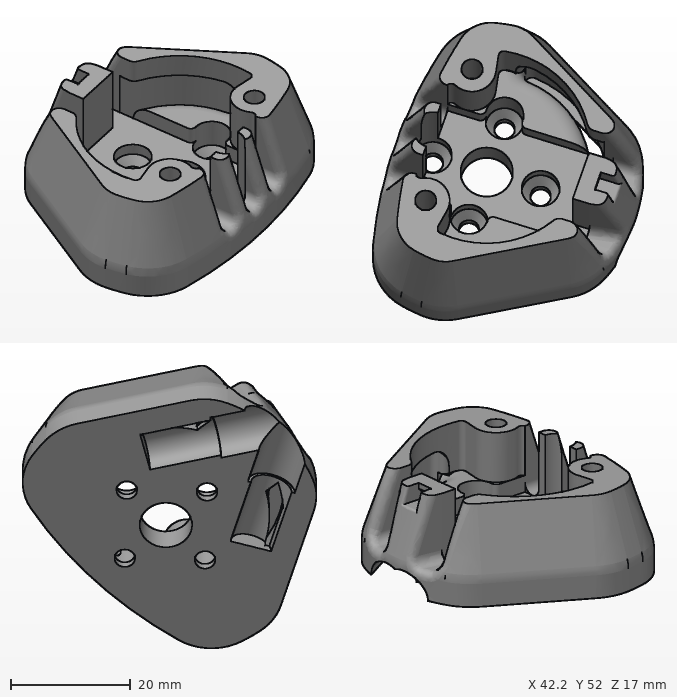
import cadquery as cq
import math

REACH = 31.2
EVERYWHERE = (-REACH, REACH)
GAP = 0.05

height = 17.0
floor_z = 5.0
ledge_z = 8.0

back_radius = 26.1
back_end_angle = 156.7
corner_radius = 9.85
side_angle = 120.0
side_length = 19.4
shoulder_radius = 30.65
shoulder_start_angle = 83.8
shoulder_end_angle = 76.7
front_start_angle = 13.2
wall_inset = 4.05
sill_radius = 4.9

channel_back = -19.5
channel_front = 9.6
channel_half_width = 8.3

slot_width = 3.55
slot_corner_radius = 1.7
back_slot_edge_radius = 1.5
front_slot_edge_radius = 1.45
back_slot_inner_y = 4.3
back_slot_flare = 9.3
inside_wall = 2.1
beyond_wall = 10.4

block_front = -16.5
notch_half_width = 1.6
notch_floor_z = 14.0
notch_ceiling_z = 15.55
notch_undercut = 1.05
notch_ceiling_slope = 0.4
notch_edge_radius = 0.45

screw_circle_radius = 9.45
screw_radius = 1.7
screw_head_radius = 3.15
screw_seat_z = 2.9
screw_corner_radius = 1.0
centre_hole_radius = 4.35

pocket_radius = 17.25
pocket_corner_radius = 0.95
pocket_tip_radius = 1.5
boss_x = 6.65
boss_y = 12.3
boss_radius = 4.0
boss_flank_angle = 170.0
boss_hole_radius = 1.75
boss_hole_floor_z = ledge_z
relief_radius = 1.0
relief_angle = 296.0
groove_lip_radius = ledge_z - floor_z
groove_floor_z = 1.5
groove_start_angle = 143.5
groove_end_x = -1.85
groove_half_width = 1.25
groove_roof_z = 12.8
groove_mouth_x = 0.55
groove_mouth_radius = 3.6

bore_offset = 14.75
bore_angle = 30.0
bore_radius = 4.05
inner_bore_radius = 3.55
bore_step = 12.1


def polar(radius, angle):
    a = math.radians(angle)
    return cq.Vector(radius * math.cos(a), radius * math.sin(a))


def mirrored(point):
    return cq.Vector(point.x, -point.y)


def both_sides(shape):
    return shape.union(shape.mirror("XZ"))


def edges_within(x_range, y_range, z_range):
    """Selector for edges that lie wholly inside a box."""
    low, high = zip(x_range, y_range, z_range)
    return cq.selectors.BoxSelector(low, high, boundingbox=True)


def box_between(x_range, y_range, z_range):
    size = [b - a for a, b in (x_range, y_range, z_range)]
    corner = (x_range[0], y_range[0], z_range[0])
    return cq.Workplane("XY").box(*size, centered=False).translate(corner)


def cylinder(radius, x, y, bottom, top):
    return cq.Workplane("XY", origin=(x, y, bottom)).circle(radius).extrude(top - bottom)


def outline(inset):
    """Closed wire of the outline, moved inward by inset."""
    point = polar(back_radius - inset, back_end_angle)
    steps = []

    def arc(radius, start_angle, end_angle):
        r = radius - inset
        centre = steps[-1][-1] - polar(r, start_angle)
        steps.append((centre + polar(r, (start_angle + end_angle) / 2), centre + polar(r, end_angle)))

    steps.append((point,))
    arc(corner_radius, back_end_angle, side_angle)
    steps.append((steps[-1][-1] + polar(side_length, side_angle - 90),))
    arc(corner_radius, side_angle, shoulder_start_angle)
    arc(shoulder_radius, shoulder_start_angle, shoulder_end_angle)
    arc(corner_radius, shoulder_end_angle, front_start_angle)
    end = steps[-1][-1]
    bulge = end.y * math.tan(math.radians(front_start_angle / 2))
    wire = cq.Workplane("XY").moveTo(point.x, point.y)
    for step in steps[1:]:
        if len(step) == 1:
            wire = wire.lineTo(step[0].x, step[0].y)
        else:
            wire = wire.threePointArc(step[0].toTuple()[:2], step[1].toTuple()[:2])
    wire = wire.threePointArc((end.x + bulge, 0), (end.x, -end.y))
    for i in range(len(steps) - 1, 0, -1):
        target = mirrored(steps[i - 1][-1])
        if len(steps[i]) == 1:
            wire = wire.lineTo(target.x, target.y)
        else:
            wire = wire.threePointArc(mirrored(steps[i][0]).toTuple()[:2], target.toTuple()[:2])
    return wire.threePointArc((inset - back_radius, 0), (point.x, point.y)).close().wire().val()


def body():
    foot = cq.Workplane(cq.Solid.extrudeLinear(outline(0), [], cq.Vector(0, 0, floor_z)))
    lower = outline(0).moved(cq.Location((0, 0, floor_z)))
    upper = outline(wall_inset).moved(cq.Location((0, 0, height)))
    shape = foot.union(cq.Workplane(cq.Solid.makeLoft([lower, upper], True)))
    sill = edges_within(EVERYWHERE, EVERYWHERE, (floor_z - GAP, floor_z + GAP))
    return shape.edges(sill).fillet(sill_radius)


def slot(back_x, back_y, front_x, front_y, outer_y_back, outer_y_front):
    """Round-bottomed slot between two X positions, open at the top."""
    profiles = []
    for x, inner, outer in ((back_x, back_y, outer_y_back), (front_x, front_y, outer_y_front)):
        r = slot_corner_radius
        k = r * math.sqrt(0.5)
        profile = (
            cq.Workplane("YZ", origin=(x, 0, 0))
            .moveTo(inner, height + 0.5)
            .lineTo(inner, floor_z + r)
            .threePointArc((inner + r - k, floor_z + r - k), (inner + r, floor_z))
            .lineTo(outer - r, floor_z)
            .threePointArc((outer - r + k, floor_z + r - k), (outer, floor_z + r))
            .lineTo(outer, height + 0.5)
            .close()
        )
        profiles.append(profile.wire().val())
    return cq.Workplane(cq.Solid.makeLoft(profiles, True))


def cut_slots(shape):
    slope = math.tan(math.radians(back_slot_flare))
    inside_x = channel_back + inside_wall
    outside_x = channel_back - beyond_wall
    y_in = back_slot_inner_y + inside_wall * slope
    y_out = back_slot_inner_y - beyond_wall * slope
    w = channel_half_width
    shape = shape.cut(both_sides(slot(outside_x, y_out, inside_x, y_in, w, w)))
    a, b = channel_front - inside_wall, channel_front + beyond_wall
    shape = shape.cut(both_sides(slot(a, w - slot_width, b, w - slot_width, w, w)))
    h = slot_width / 2
    return shape.cut(slot(a, -h, b, -h, h, h))


def round_slot_edges(shape):
    """Round the slot edges where they break through the outer wall."""
    w = channel_half_width + GAP
    slot_heights = (floor_z - GAP, height + GAP)
    rim = edges_within(EVERYWHERE, EVERYWHERE, (height - GAP, height + GAP))
    post_feet = edges_within(EVERYWHERE, EVERYWHERE, (floor_z + 2 * GAP, floor_z + slot_corner_radius / 2))
    level = rim + post_feet
    for side in ((back_slot_inner_y / 2, w), (-w, -back_slot_inner_y / 2)):
        back = edges_within((-REACH, channel_back - GAP), side, slot_heights)
        shape = shape.edges(back - level).fillet(back_slot_edge_radius)
    front = edges_within((channel_front + inside_wall - 0.5, REACH), (-w, w), slot_heights)
    return shape.edges(front - level).fillet(front_slot_edge_radius)


def channel():
    """Central channel, leaving the latch block standing at its back end."""
    w = channel_half_width
    block = box_between(
        (channel_back, block_front), (-back_slot_inner_y, back_slot_inner_y), (floor_z, height)
    )
    return box_between((channel_back, channel_front), (-w, w), (floor_z, height)).cut(block)


def latch_notch():
    """Open notch in the latch block with an undercut for a catch."""
    outside = channel_back - beyond_wall
    h = notch_half_width
    profile = [
        (outside, notch_floor_z),
        (channel_back + notch_undercut, notch_floor_z),
        (channel_back + notch_undercut, notch_ceiling_z),
        (channel_back + notch_ceiling_slope, notch_ceiling_z),
        (channel_back, notch_ceiling_z + notch_ceiling_slope),
        (channel_back, height),
        (outside, height),
    ]
    return cq.Workplane("XZ", origin=(0, h, 0)).polyline(profile).close().extrude(2 * h)


def screw_holes():
    cone_depth = screw_head_radius - screw_radius
    profile = [
        (0, 0),
        (screw_radius, 0),
        (screw_radius, screw_seat_z - cone_depth),
        (screw_head_radius, screw_seat_z),
        (screw_head_radius, height),
        (0, height),
    ]
    hole = cq.Workplane("XZ").polyline(profile).close().revolve(360, (0, 0), (0, 1))
    holes = cylinder(centre_hole_radius, 0, 0, 0, height)
    for angle in (0, 90, 180, 270):
        holes = holes.union(hole.translate(polar(screw_circle_radius, angle)))
    return holes


def side_pocket():
    """Pocket between the outer wall and the boss, from the ledge up."""
    w = channel_half_width
    boss = cq.Vector(boss_x, boss_y)
    wall_start = cq.Vector(-math.sqrt(pocket_radius**2 - w**2), w)
    wall_middle = polar(pocket_radius, 120)
    flank = boss + polar(boss_radius, boss_flank_angle)
    flank_direction = polar(1, boss_flank_angle - 90)
    along = flank.dot(flank_direction)
    corner = flank + flank_direction * (math.sqrt(along**2 + pocket_radius**2 - flank.dot(flank)) - along)
    boss_middle = boss + polar(boss_radius, (boss_flank_angle + relief_angle) / 2)
    boss_end = boss + polar(boss_radius, relief_angle)
    relief = boss + polar(boss_radius + relief_radius, relief_angle)
    relief_end_angle = math.degrees(math.acos((channel_front - relief.x) / relief_radius))
    relief_middle = relief + polar(relief_radius, (relief_angle - 180 + relief_end_angle) / 2)
    relief_end = relief + polar(relief_radius, relief_end_angle)
    pocket = (
        cq.Workplane("XY", origin=(0, 0, ledge_z))
        .moveTo(wall_start.x, wall_start.y)
        .threePointArc((wall_middle.x, wall_middle.y), (corner.x, corner.y))
        .lineTo(flank.x, flank.y)
        .threePointArc((boss_middle.x, boss_middle.y), (boss_end.x, boss_end.y))
        .threePointArc((relief_middle.x, relief_middle.y), (relief_end.x, relief_end.y))
        .lineTo(channel_front, w / 2)
        .lineTo(wall_start.x, w / 2)
        .close()
        .extrude(height - ledge_z)
    )
    corner_edge = cq.selectors.NearestToPointSelector((corner.x, corner.y, (ledge_z + height) / 2))
    return pocket.edges(corner_edge).fillet(pocket_corner_radius)


def groove():
    """Arc groove set into the pocket wall, with the ledge edge rounded over into it."""
    lip = groove_lip_radius
    half = groove_half_width
    middle_radius = pocket_radius + half
    outer_radius = pocket_radius + 2 * half
    end_angle = math.degrees(math.acos(groove_end_x / middle_radius))
    end_y = middle_radius * math.sin(math.radians(end_angle))
    k = math.sqrt(0.5)

    def lip_profile(edge, direction):
        """Space above the rounded ledge edge; direction points from the ledge to the groove."""
        top = edge - direction * lip
        return (
            cq.Workplane("XZ")
            .moveTo(top, ledge_z)
            .threePointArc((top + direction * lip * k, floor_z + lip * k), (edge, floor_z))
            .lineTo(edge, ledge_z)
            .close()
        )

    def around_origin(profile, start_angle):
        ring = profile.revolve(end_angle - start_angle, (0, 0), (0, 1))
        return ring.rotate((0, 0, 0), (0, 0, 1), end_angle)

    slot_profile = (
        cq.Workplane("XZ")
        .moveTo(pocket_radius, groove_floor_z)
        .lineTo(outer_radius, groove_floor_z)
        .lineTo(outer_radius, groove_roof_z)
        .lineTo(pocket_radius, groove_roof_z)
        .close()
    )
    start = polar(middle_radius, groove_start_angle)
    space = around_origin(slot_profile, groove_start_angle)
    space = space.union(cylinder(half, start.x, start.y, groove_floor_z, groove_roof_z))
    space = space.union(cylinder(half, groove_end_x, end_y, groove_floor_z, groove_roof_z))

    mouth = cq.Vector(groove_mouth_x, pocket_radius)
    flare_x = groove_end_x + half
    flare_width = mouth.x - flare_x
    flare_depth = end_y - mouth.y
    space = space.union(
        cq.Workplane("XY", origin=(0, 0, ledge_z))
        .moveTo(groove_end_x, end_y)
        .lineTo(flare_x, end_y)
        .threePointArc((mouth.x - flare_width * k, mouth.y + flare_depth * (1 - k)), (mouth.x, mouth.y))
        .lineTo(mouth.x, mouth.y - half)
        .lineTo(groove_end_x, mouth.y - half)
        .close()
        .extrude(groove_roof_z - ledge_z)
    )
    r = groove_mouth_radius
    opening = (
        cq.Workplane("XZ")
        .moveTo(-outer_radius, groove_floor_z)
        .lineTo(mouth.x, groove_floor_z)
        .lineTo(mouth.x, groove_roof_z - r)
        .threePointArc((mouth.x - r + r * k, groove_roof_z - r + r * k), (mouth.x - r, groove_roof_z))
        .lineTo(-outer_radius, groove_roof_z)
        .close()
        .extrude(-outer_radius)
    )
    space = space.intersect(opening)

    straight_lip = around_origin(lip_profile(pocket_radius, 1), 180)
    end_lip = lip_profile(half, -1).revolve(end_angle, (0, 0), (0, 1))
    end_lip = end_lip.rotate((0, 0, 0), (0, 0, 1), end_angle - 180).translate((groove_end_x, end_y, 0))
    past_mouth = box_between((mouth.x, outer_radius), (pocket_radius, 2 * outer_radius), (0, height))
    beside_channel = box_between((-outer_radius, outer_radius), (channel_half_width, outer_radius), (0, height))
    return space.union(straight_lip).union(end_lip.cut(past_mouth)).intersect(beside_channel)


def underside_bore():
    """Stepped half-round bore, level with the bottom face and parallel to the long side."""
    start = cq.Workplane("YZ", origin=(-REACH, bore_offset, 0))
    wide = start.circle(bore_radius).extrude(REACH - bore_step)
    narrow = cq.Workplane("YZ", origin=(-REACH, bore_offset, 0)).circle(inner_bore_radius).extrude(REACH)
    return wide.union(narrow).rotate((0, 0, 0), (0, 0, 1), bore_angle)


def boss_hole():
    return cylinder(boss_hole_radius, boss_x, boss_y, boss_hole_floor_z, height)


def round_screw_corners(shape):
    """Round the upright corners where the side screw heads cut into the ledge."""
    w = channel_half_width
    for side in ((w - 0.5, w + 0.5), (-w - 0.5, -w + 0.5)):
        corners = edges_within((-screw_head_radius, screw_head_radius), side, (floor_z - GAP, ledge_z + GAP))
        shape = shape.edges(corners).edges("|Z").fillet(screw_corner_radius)
    return shape


def round_pocket_tips(shape):
    """Round the upright edges where the pocket walls meet the channel sides."""
    x = -math.sqrt(pocket_radius**2 - channel_half_width**2)
    for y in (channel_half_width, -channel_half_width):
        tip = edges_within((x - GAP, x + GAP), (y - GAP, y + GAP), (floor_z - GAP, height + GAP))
        shape = shape.edges(tip).fillet(pocket_tip_radius)
    return shape


def round_notch_edges(shape):
    """Round the edges of the latch notch where it breaks through the outer wall."""
    h = notch_half_width + GAP
    front = edges_within((-REACH, channel_back - 1.05), (-h, h), (notch_floor_z - GAP, height + GAP))
    rim = edges_within(EVERYWHERE, EVERYWHERE, (height - GAP, height + GAP))
    return shape.edges(front - rim).fillet(notch_edge_radius)


part = round_slot_edges(cut_slots(body()))
part = round_notch_edges(part.cut(latch_notch()))
part = part.cut(channel())
for feature in (side_pocket(), groove(), underside_bore(), boss_hole()):
    part = part.cut(both_sides(feature))
part = part.cut(screw_holes())
part = round_screw_corners(part)
part = round_pocket_tips(part)
result = part